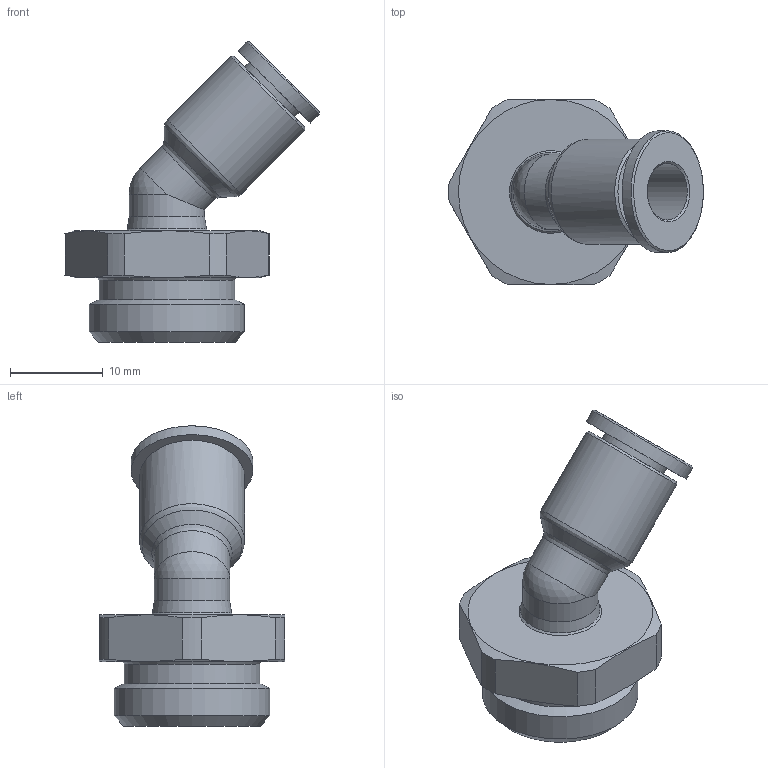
import cadquery as cq
import math

THREAD_RADIUS = 8.35
THREAD_TOP = 4.05
TIP_CHAMFER_WIDTH = 1.0
TIP_CHAMFER_HEIGHT = 1.1
RELIEF_RADIUS = 7.3
RELIEF_BOTTOM = 4.58
RELIEF_TOP = 6.65
RELIEF_FLARE = 0.2

HEX_ACROSS_FLATS = 20.0
HEX_CORNER_RADIUS = 11.0
HEX_BOTTOM = 6.95
HEX_TOP = 12.0
HEX_FACE_RADIUS = 9.95
HEX_TOP_BEVEL = 0.33
HEX_BOTTOM_BEVEL = 0.24

PIPE_RADIUS = 4.05
BEND_HEIGHT = 15.9
BEND_ANGLE = 45.0
FOOT_RADIUS = 4.25
FOOT_LIP_RADIUS = 4.45
FOOT_LIP_HEIGHT = 0.2
FOOT_TAPER_TOP = 13.5

SOCKET_RADIUS = 5.65
CONE_START = 3.6
SOCKET_START = 5.3
SOCKET_END = 15.6
SOCKET_RIM_CHAMFER = 0.25
CONE_FILLET = 1.0

COLLAR_NECK_RADIUS = 3.8
FLANGE_START = 16.35
FLANGE_END = 17.9
FLANGE_HALF_LENGTH = 6.55
FLANGE_HALF_WIDTH = 5.5
FLANGE_EDGE_CHAMFER = 0.2
BORE_RADIUS = 3.05
BORE_CHAMFER = 0.2
BORE_DEPTH = 12.0


def revolve_profile(points):
    """Turn a (radius, height) outline about Z."""
    return cq.Workplane("XZ").polyline(points).close().revolve(360, (0, 0, 0), (0, 1, 0))


def make_thread():
    return revolve_profile([
        (0, 0),
        (THREAD_RADIUS - TIP_CHAMFER_WIDTH, 0),
        (THREAD_RADIUS, TIP_CHAMFER_HEIGHT),
        (THREAD_RADIUS, THREAD_TOP),
        (RELIEF_RADIUS, RELIEF_BOTTOM),
        (RELIEF_RADIUS, RELIEF_TOP),
        (RELIEF_RADIUS + RELIEF_FLARE, HEX_BOTTOM),
        (0, HEX_BOTTOM),
    ])


def make_hex():
    across_corners = HEX_ACROSS_FLATS / math.cos(math.radians(30))
    prism = (
        cq.Workplane("XY", origin=(0, 0, HEX_BOTTOM))
        .polygon(6, across_corners)
        .extrude(HEX_TOP - HEX_BOTTOM)
    )
    turned_blank = revolve_profile([
        (0, HEX_BOTTOM),
        (HEX_FACE_RADIUS, HEX_BOTTOM),
        (HEX_CORNER_RADIUS, HEX_BOTTOM + HEX_BOTTOM_BEVEL),
        (HEX_CORNER_RADIUS, HEX_TOP - HEX_TOP_BEVEL),
        (HEX_FACE_RADIUS, HEX_TOP),
        (0, HEX_TOP),
    ])
    return prism.intersect(turned_blank)


def make_upright_leg():
    lip_top = HEX_TOP + FOOT_LIP_HEIGHT
    leg = revolve_profile([
        (0, HEX_TOP),
        (FOOT_LIP_RADIUS, HEX_TOP),
        (FOOT_RADIUS, lip_top),
        (PIPE_RADIUS, FOOT_TAPER_TOP),
        (PIPE_RADIUS, BEND_HEIGHT),
        (0, BEND_HEIGHT),
    ])
    ball = cq.Workplane("XY", origin=(0, 0, BEND_HEIGHT)).sphere(PIPE_RADIUS)
    return leg.union(ball)


def tilt_to_bend(solid):
    """Lean a solid built along +Z towards +X and set it on the bend."""
    return solid.rotate((0, 0, 0), (0, 1, 0), BEND_ANGLE).translate((0, 0, BEND_HEIGHT))


def make_socket():
    socket = revolve_profile([
        (0, 0),
        (PIPE_RADIUS, 0),
        (PIPE_RADIUS, CONE_START),
        (SOCKET_RADIUS, SOCKET_START),
        (SOCKET_RADIUS, SOCKET_END),
        (0, SOCKET_END),
    ])
    socket = socket.faces("%CONE").edges().fillet(CONE_FILLET)
    return socket.faces(">Z").edges().chamfer(SOCKET_RIM_CHAMFER)


def make_collar():
    neck = (
        cq.Workplane("XY", origin=(0, 0, SOCKET_END))
        .circle(COLLAR_NECK_RADIUS)
        .extrude(FLANGE_START - SOCKET_END)
    )
    flange = (
        cq.Workplane("XY", origin=(0, 0, FLANGE_START))
        .ellipse(FLANGE_HALF_WIDTH, FLANGE_HALF_LENGTH)
        .extrude(FLANGE_END - FLANGE_START)
        .faces(">Z").edges().chamfer(FLANGE_EDGE_CHAMFER)
    )
    return neck.union(flange)


def make_bore():
    mouth_radius = BORE_RADIUS + BORE_CHAMFER
    return revolve_profile([
        (0, FLANGE_END - BORE_DEPTH),
        (BORE_RADIUS, FLANGE_END - BORE_DEPTH),
        (BORE_RADIUS, FLANGE_END - BORE_CHAMFER),
        (mouth_radius, FLANGE_END),
        (0, FLANGE_END),
    ])


base = make_thread().union(make_hex()).union(make_upright_leg())
branch = make_socket().union(make_collar())
result = base.union(tilt_to_bend(branch)).cut(tilt_to_bend(make_bore()))